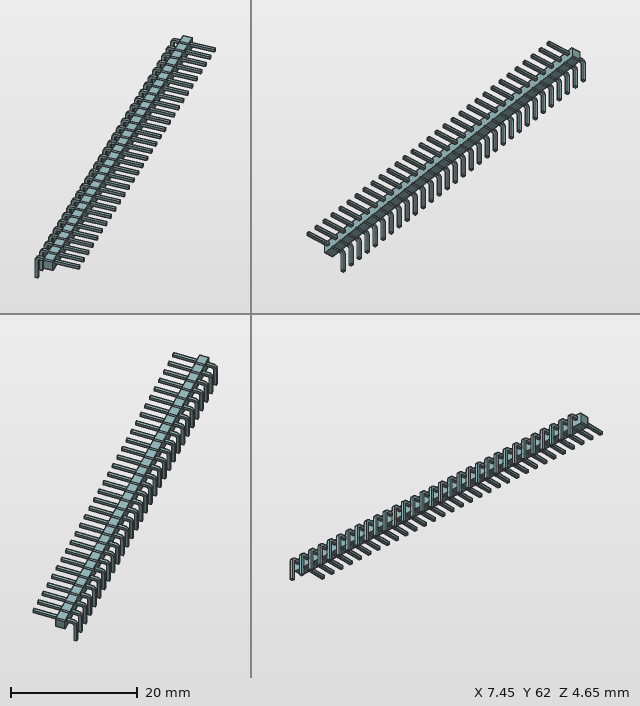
import cadquery as cq

total_length = 62.0
total_width = 7.45
total_height = 4.65

pin_count = 31
pitch = total_length / pin_count
housing_width = 1.55
housing_height = 2.0
housing_chamfer = 0.2

pin_size = 0.5
bend_inner_radius = 0.25
bend_outer_radius = bend_inner_radius + pin_size
housing_offset = 1.75
pin_depth = 0.5

pin_top = total_height - pin_depth
housing_middle_x = housing_offset + housing_width / 2
housing_middle_z = total_height - housing_height / 2


def housing_segment(y):
    """One block with its four X-direction edges chamfered."""
    return (
        cq.Workplane("XY")
        .box(housing_width, pitch, housing_height)
        .edges("|X")
        .chamfer(housing_chamfer)
        .translate((housing_middle_x, y, housing_middle_z))
    )


def bent_pin(y):
    """One L-shaped square pin with concentric bend radii."""
    bend_centre = (bend_outer_radius, pin_top - bend_outer_radius)
    outline = (
        cq.Workplane("XZ")
        .moveTo(0, 0)
        .lineTo(0, bend_centre[1])
        .radiusArc((bend_centre[0], pin_top), bend_outer_radius)
        .lineTo(total_width, pin_top)
        .lineTo(total_width, pin_top - pin_size)
        .lineTo(bend_centre[0], pin_top - pin_size)
        .radiusArc((pin_size, bend_centre[1]), -bend_inner_radius)
        .lineTo(pin_size, 0)
        .close()
    )
    return outline.extrude(pin_size / 2, both=True).translate((0, y, 0))


solids = []
for index in range(pin_count):
    pin_y = (index - (pin_count - 1) / 2) * pitch
    solids.append(housing_segment(pin_y).val())
    solids.append(bent_pin(pin_y).val())

header = solids[0].fuse(*solids[1:]).clean()
result = cq.Workplane(header.Solids()[0])